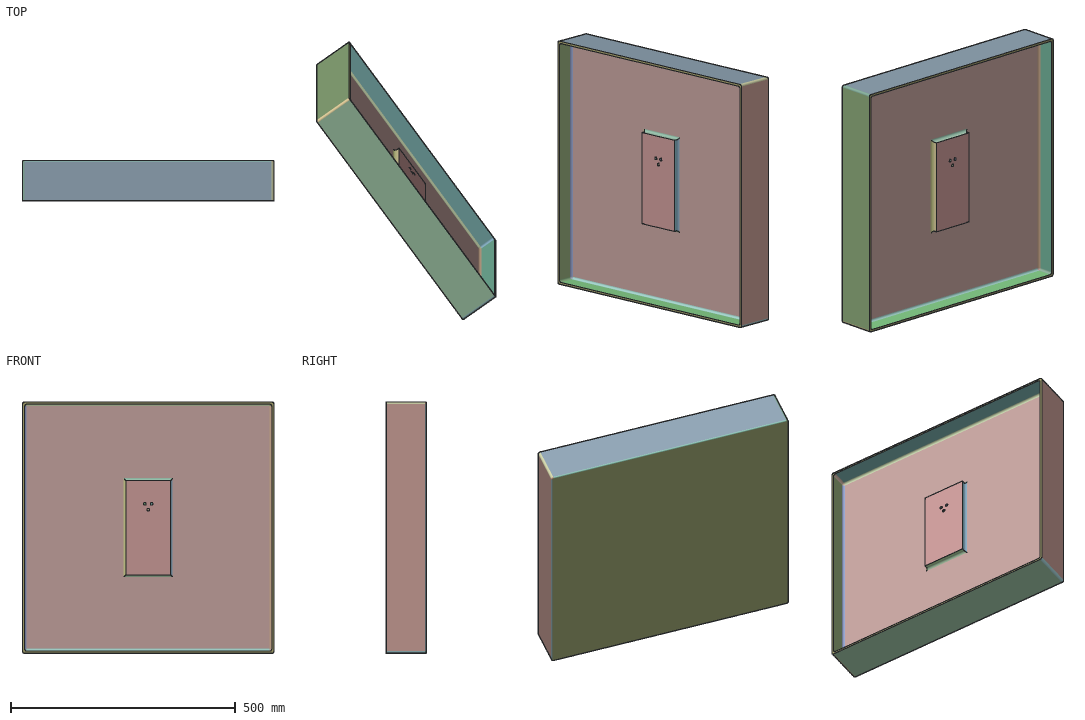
import math

import cadquery as cq

side = 560.0
depth = 90.0
wall = 5.0
corner_radius = 5.0
back_edge_radius = 2.5
pocket_depth = 40.0
pocket_radius = 5.0

pad_width = 100.0
pad_height = 210.0
pad_rise = 12.0
pad_base_radius = 5.0

hole_diameter = 6.0
hole_depth = pad_rise
hole_spacing = 15.0
lower_hole_z = 40.0
upper_hole_z = lower_hole_z + hole_spacing * math.sin(math.radians(60))

front_y = -depth / 2
back_y = depth / 2
floor_y = front_y + pocket_depth
pad_y = floor_y - pad_rise


def block(width, height, y_start, y_end):
    """Box centred on the Y axis, spanning y_start to y_end."""
    length_y = y_end - y_start
    return cq.Workplane("XY").box(width, length_y, height).translate((0, y_start + length_y / 2, 0))


def make_tray():
    """Outer body with rounded corners and back edge, hollowed from the front."""
    body = block(side, side, front_y, back_y)
    body = body.edges("|Y").fillet(corner_radius)
    body = body.faces(">Y").edges().fillet(back_edge_radius)

    opening = side - 2 * wall
    pocket = block(opening, opening, front_y, floor_y)
    pocket = pocket.edges("|Y or >Y").fillet(pocket_radius)
    return body.cut(pocket)


def add_pad(body):
    """Pad on the tray floor, blended into the floor by a concave fillet."""
    body = body.union(block(pad_width, pad_height, pad_y, back_y - corner_radius))
    margin = pad_base_radius / 2
    half_width = pad_width / 2 + margin
    half_height = pad_height / 2 + margin
    base_edges = cq.selectors.BoxSelector(
        (-half_width, floor_y - margin, -half_height),
        (half_width, floor_y + margin, half_height),
    )
    return body.edges(base_edges).fillet(pad_base_radius)


def cut_holes(body):
    """Round holes sunk into the pad face along +Y."""
    centres = [
        (-hole_spacing / 2, upper_hole_z),
        (hole_spacing / 2, upper_hole_z),
        (0, lower_hole_z),
    ]
    for x, z in centres:
        start = cq.Vector(x, pad_y, z)
        drill = cq.Solid.makeCylinder(hole_diameter / 2, hole_depth, start, cq.Vector(0, 1, 0))
        body = body.cut(cq.Workplane(drill))
    return body


tray = make_tray()
tray_with_pad = add_pad(tray)
result = cut_holes(tray_with_pad)